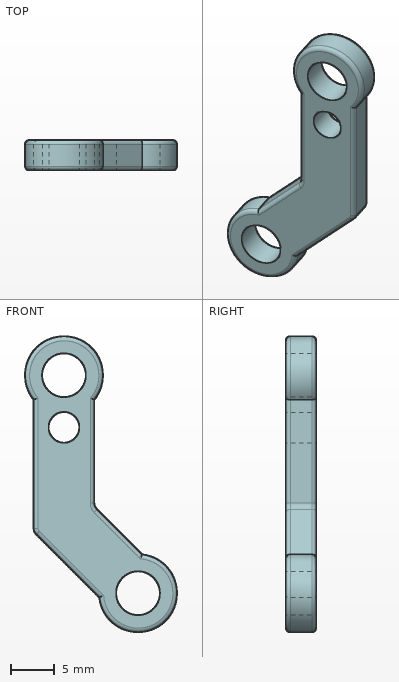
import cadquery as cq
import math

length = 34.0
width = 17.48
thickness = 3.5

eye_radius = 4.5
eye_hole_diameter = 5.0
small_hole_diameter = 3.5
small_hole_drop = 6.0
arm_width = 7.0
bend_angle = 45.0
bend_radius = 1.0
edge_radius = 0.5

upper_eye = (0, 0)
lower_eye = (width - 2 * eye_radius, -(length - 2 * eye_radius))
small_hole = (0, -small_hole_drop)

bend_z = lower_eye[1] + lower_eye[0] / math.tan(math.radians(bend_angle))
half_arm = arm_width / 2
miter_shift = half_arm * math.tan(math.radians(bend_angle / 2))
side_x = half_arm * math.cos(math.radians(bend_angle))
side_z = half_arm * math.sin(math.radians(bend_angle))


def front_plane():
    """XZ plane on the -Y face, with its normal towards -Y."""
    return cq.Workplane("XZ", origin=(0, -thickness / 2, 0))


def cylinder(center, diameter):
    """Round body through the full thickness, centred on an X, Z point."""
    return front_plane().center(*center).circle(diameter / 2).extrude(-thickness)


def bent_arm():
    """Constant-width arm running between the two eye centres."""
    inner_bend = (half_arm, bend_z + miter_shift)
    outer_bend = (-half_arm, bend_z - miter_shift)
    arm = (
        front_plane()
        .polyline([
            (-half_arm, 0),
            (half_arm, 0),
            inner_bend,
            (lower_eye[0] + side_x, lower_eye[1] + side_z),
            (lower_eye[0] - side_x, lower_eye[1] - side_z),
            outer_bend,
        ])
        .close()
        .extrude(-thickness)
    )
    for x, z in (inner_bend, outer_bend):
        bend_edge = cq.selectors.NearestToPointSelector((x, 0, z))
        arm = arm.edges("|Y").edges(bend_edge).fillet(bend_radius)
    return arm


body = bent_arm()
for eye in (upper_eye, lower_eye):
    body = body.union(cylinder(eye, 2 * eye_radius))
body = body.faces("<Y or >Y").edges().fillet(edge_radius)

for center, diameter in (
    (upper_eye, eye_hole_diameter),
    (lower_eye, eye_hole_diameter),
    (small_hole, small_hole_diameter),
):
    body = body.cut(cylinder(center, diameter))

result = body